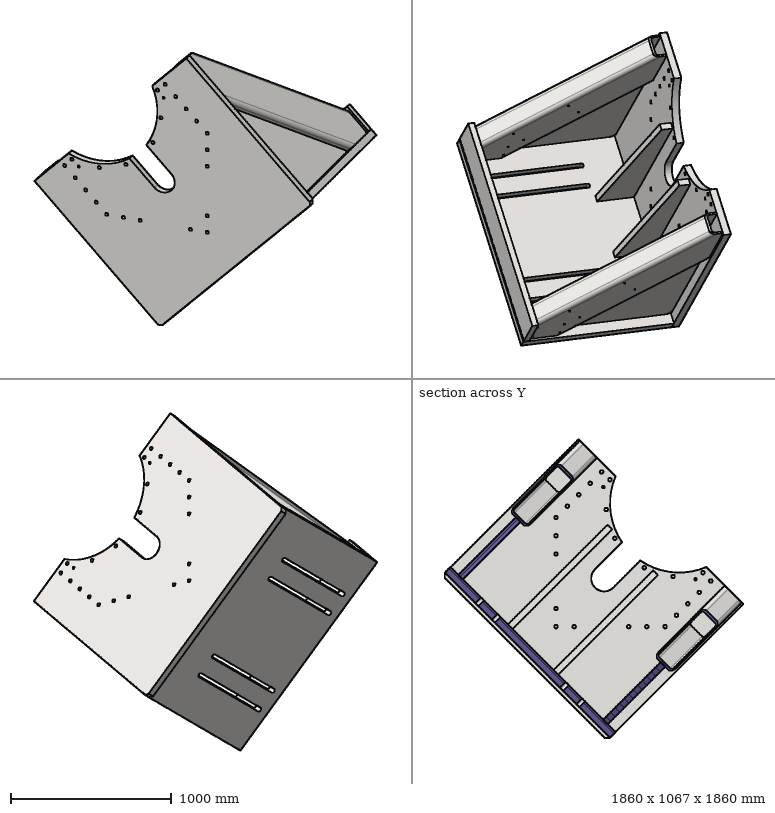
import cadquery as cq
import math

OVERALL = 1860.0
DEPTH = 1067.0
TILT = -45.0

PLATE_WIDTH = 1450.0
PLATE_THICK = 50.0
CORNER_CHAMFER = 20.0
PLATE_HEIGHT = math.sqrt(2) * OVERALL + CORNER_CHAMFER - PLATE_WIDTH

CUTOUT_RADIUS = 430.0
CUTOUT_RISE = 160.0
CUTOUT_Z = PLATE_HEIGHT + CUTOUT_RISE
SLOT_RADIUS = 80.0
SLOT_DROP = 500.0
SLOT_Z = PLATE_HEIGHT - SLOT_DROP

BOLT_DIA = 20.0
DOWEL_DIA = 14.0
ARC_HOLE_RADIUS = 455.0
ARC_HOLE_ANGLES = (16.5, 40.2, 63.9)
DOWEL_X = 405.0
DOWEL_DROP = 102.0
COLUMN_X = 480.0
COLUMN_TOP_DROP = 43.0
COLUMN_PITCH = 100.0
COLUMN_COUNT = 5
COLUMN_BOTTOM_Z = PLATE_HEIGHT - COLUMN_TOP_DROP - (COLUMN_COUNT - 1) * COLUMN_PITCH
DIAGONAL_PITCH = COLUMN_X / 6
DIAGONAL_STEPS = (1, 2, 5)

FLOOR_WIDTH = PLATE_WIDTH + 4.0
FLOOR_THICK = 50.0
FLOOR_BOTTOM = 25.0
FLOOR_TOP = FLOOR_BOTTOM + FLOOR_THICK
FLOOR_SLOT_WIDTH = 28.0
FLOOR_SLOT_START = 312.0
FLOOR_SLOT_END = 997.0
FLOOR_SLOT_X = (300.0, 445.0)

RAIL_HEIGHT = 205.0
RAIL_THICK = 40.0
RAIL_FRONT = DEPTH - RAIL_THICK
RAIL_CHAMFER = 10.0

TUBE_WIDTH = 150.0
TUBE_DEPTH = 300.0
TUBE_WALL = 12.5
TUBE_RADIUS = 28.0
TUBE_SLOPE = math.radians(46.0)
TUBE_TOP_Y = PLATE_THICK + 85.0
TUBE_INSET = 13.0
TUBE_X = PLATE_WIDTH / 2 - TUBE_INSET - TUBE_WIDTH / 2

TUBE_HOLE_DIA = 7.0
TUBE_HOLE_RECTANGLE = [(y, z) for y in (827.0, 1010.0) for z in (112.0, 215.0)]
TUBE_HOLE_PAIRS = [(842.0, 385.0), (744.0, 285.0), (558.0, 677.0), (460.0, 575.0)]

GUSSET_THICK = 40.0
GUSSET_CHAMFER = 25.0

RIB_X = 200.0
RIB_THICK = 40.0
RIB_TIP_DEPTH = 75.0
RIB_ROOT_DEPTH = 250.0
RIB_TOP_DROP = 250.0


def block(width, y_start, y_end, z_start, z_end, x=0):
    """A box centred on x in width, between the given y and z limits."""
    box = cq.Workplane("XY").box(width, y_end - y_start, z_end - z_start, centered=(True, False, False))
    return box.translate((x, y_start, z_start))


def side_profile(points, thickness, x):
    """A plate centred on x, with its outline given as (y, z) points."""
    outline = cq.Workplane("YZ").polyline(points).close()
    return outline.extrude(thickness / 2, both=True).translate((x, 0, 0))


def through_plate(points, diameter):
    """Round cutters through the face plate at (x, z) points."""
    return cq.Workplane("XZ").pushPoints(points).circle(diameter / 2).extrude(-PLATE_THICK)


def bolt_points():
    """Centres of all the bolt holes in the face plate."""
    points = [(0, COLUMN_BOTTOM_Z - COLUMN_X)]
    for side in (-1, 1):
        for angle in ARC_HOLE_ANGLES:
            turn = math.radians(angle)
            x = side * ARC_HOLE_RADIUS * math.sin(turn)
            points.append((x, CUTOUT_Z - ARC_HOLE_RADIUS * math.cos(turn)))
        for i in range(COLUMN_COUNT):
            points.append((side * COLUMN_X, COLUMN_BOTTOM_Z + i * COLUMN_PITCH))
        for step in DIAGONAL_STEPS:
            shift = step * DIAGONAL_PITCH
            points.append((side * (COLUMN_X - shift), COLUMN_BOTTOM_Z - shift))
    return points


def make_face_plate():
    plate = block(PLATE_WIDTH, 0, PLATE_THICK, 0, PLATE_HEIGHT)
    plate = plate.faces("<Z").edges("|Y").chamfer(CORNER_CHAMFER)
    cutout = through_plate([(0, CUTOUT_Z)], 2 * CUTOUT_RADIUS)
    slot_end = through_plate([(0, SLOT_Z)], 2 * SLOT_RADIUS)
    slot = block(2 * SLOT_RADIUS, 0, PLATE_THICK, SLOT_Z, PLATE_HEIGHT)
    bolts = through_plate(bolt_points(), BOLT_DIA)
    dowel_points = [(side * DOWEL_X, PLATE_HEIGHT - DOWEL_DROP) for side in (-1, 1)]
    dowels = through_plate(dowel_points, DOWEL_DIA)
    return plate.cut(cutout).cut(slot_end).cut(slot).cut(bolts).cut(dowels)


def make_floor():
    floor = block(FLOOR_WIDTH, PLATE_THICK, DEPTH, FLOOR_BOTTOM, FLOOR_TOP)
    length = FLOOR_SLOT_END - FLOOR_SLOT_START
    middle = (FLOOR_SLOT_START + FLOOR_SLOT_END) / 2
    centres = [(side * x, middle) for side in (-1, 1) for x in FLOOR_SLOT_X]
    slots = cq.Workplane("XY").pushPoints(centres).slot2D(length, FLOOR_SLOT_WIDTH, 90).extrude(FLOOR_TOP)
    return floor.cut(slots)


def make_rail():
    rail = block(FLOOR_WIDTH, RAIL_FRONT, DEPTH, FLOOR_TOP, FLOOR_TOP + RAIL_HEIGHT)
    return rail.faces("<Z").edges("|X").chamfer(RAIL_CHAMFER)


def sloping_bar(x, inset):
    """A long rounded bar along the tube's slope, smaller than the tube by inset on every side."""
    run = cq.Vector(0, math.cos(TUBE_SLOPE), -math.sin(TUBE_SLOPE))
    section = cq.Plane(origin=(x, TUBE_TOP_Y, PLATE_HEIGHT), xDir=(1, 0, 0), normal=run)
    bar = (
        cq.Workplane(section)
        .center(0, TUBE_DEPTH / 2)
        .rect(TUBE_WIDTH - 2 * inset, TUBE_DEPTH - 2 * inset)
        .extrude(2 * PLATE_HEIGHT, both=True)
    )
    return bar.edges(cq.selectors.ParallelDirSelector(run)).fillet(TUBE_RADIUS - inset)


def make_tube(x):
    """A sloping tube trimmed by the face plate, the floor, the rail and the plate's upper edge."""
    room = block(TUBE_WIDTH, PLATE_THICK, RAIL_FRONT, FLOOR_TOP, PLATE_HEIGHT, x)
    tube = sloping_bar(x, 0).cut(sloping_bar(x, TUBE_WALL)).intersect(room)
    points = TUBE_HOLE_RECTANGLE + TUBE_HOLE_PAIRS
    holes = cq.Workplane("YZ").pushPoints(points).circle(TUBE_HOLE_DIA / 2).extrude(2 * TUBE_WALL)
    return tube.cut(holes.translate((x - TUBE_WIDTH / 2 - TUBE_WALL / 2, 0, 0)))


def make_gusset(x):
    """A triangle below the tube, its corner between face plate and floor cut off."""
    slope = math.tan(TUBE_SLOPE)
    tube_height = TUBE_DEPTH / math.cos(TUBE_SLOPE)
    top = PLATE_HEIGHT + (TUBE_TOP_Y - PLATE_THICK) * slope - tube_height
    back = PLATE_THICK + (top - FLOOR_TOP) / slope
    outline = [
        (PLATE_THICK, FLOOR_TOP + GUSSET_CHAMFER),
        (PLATE_THICK + GUSSET_CHAMFER, FLOOR_TOP),
        (back, FLOOR_TOP),
        (PLATE_THICK, top),
    ]
    return side_profile(outline, GUSSET_THICK, x)


def make_rib(x):
    top = PLATE_HEIGHT - RIB_TOP_DROP
    outline = [
        (PLATE_THICK, FLOOR_TOP),
        (PLATE_THICK + RIB_ROOT_DEPTH, FLOOR_TOP),
        (PLATE_THICK + RIB_TIP_DEPTH, top),
        (PLATE_THICK, top),
    ]
    return side_profile(outline, RIB_THICK, x)


face_plate = make_face_plate()
floor_plate = make_floor()
back_rail = make_rail()
tubes = [make_tube(side * TUBE_X) for side in (-1, 1)]
gussets = [make_gusset(side * TUBE_X) for side in (-1, 1)]
ribs = [make_rib(side * RIB_X) for side in (-1, 1)]

upright_bodies = [face_plate, floor_plate, back_rail, *tubes, *gussets, *ribs]
result = cq.Compound.makeCompound(
    [body.rotate((0, 0, 0), (0, 1, 0), TILT).val() for body in upright_bodies]
)